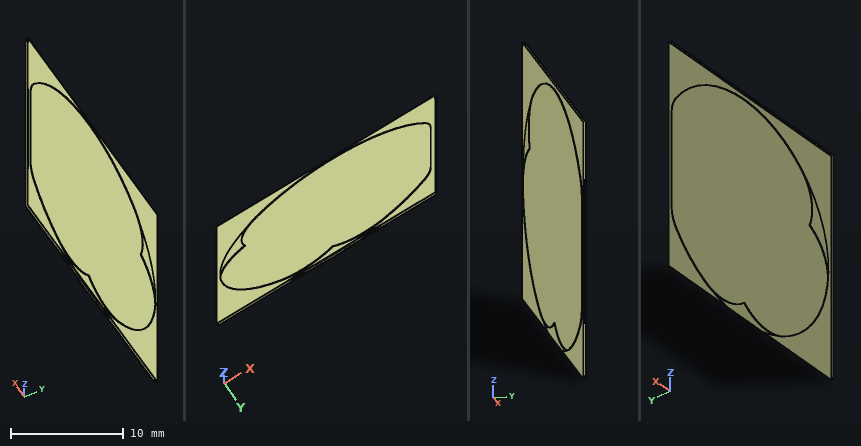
import cadquery as cq
import math

total_thickness = 0.35
pad_height = 0.05
sheet_thickness = 0.001
sheet_outer_thickness = total_thickness - 2 * pad_height
spacer_thickness = sheet_outer_thickness - 2 * sheet_thickness

sheet_left = -12.35
sheet_width = 23.15
sheet_top = 12.45
sheet_height = 24.12

disc_radius = 11.95
flat_x = 10.35
blend_radius = 3.32

lobe_radius = 4.88
lobe_half_angle = 27.5
notch_angles = (160.0, 270.0)


def polar(radius, angle):
    """Point at a radius and an angle in degrees about the disc centre."""
    turn = math.radians(angle)
    return radius * math.cos(turn), radius * math.sin(turn)


def centred_extrude(profile, thickness):
    """Extrude an XZ profile equally to both sides of the middle plane."""
    return profile.extrude(thickness / 2, both=True)


def flatted_disc(thickness):
    blend_x = flat_x - blend_radius
    blend_z = math.sqrt((disc_radius - blend_radius) ** 2 - blend_x**2)
    rim_angle = math.degrees(math.atan2(blend_z, blend_x))
    rim_x, rim_z = polar(disc_radius, rim_angle)
    arc_x, arc_z = polar(blend_radius, rim_angle / 2)
    profile = (
        cq.Workplane("XZ")
        .moveTo(flat_x, -blend_z)
        .lineTo(flat_x, blend_z)
        .threePointArc((blend_x + arc_x, blend_z + arc_z), (rim_x, rim_z))
        .threePointArc((-disc_radius, 0), (rim_x, -rim_z))
        .threePointArc((blend_x + arc_x, -blend_z - arc_z), (flat_x, -blend_z))
        .close()
    )
    return centred_extrude(profile, thickness)


def notch(angle):
    """Region between two neighbouring lobes, out to the disc rim."""
    centre_distance = disc_radius - lobe_radius
    half_turn = math.radians(lobe_half_angle)
    cusp_reach = math.sqrt(lobe_radius**2 - (centre_distance * math.sin(half_turn)) ** 2)
    cusp_radius = centre_distance * math.cos(half_turn) + cusp_reach
    cusp_offset = math.degrees(math.atan2(centre_distance * math.sin(half_turn), cusp_reach))

    def lobe_middle(side):
        """Point on a lobe halfway between the cusp and the rim."""
        direction = angle + side * (lobe_half_angle - cusp_offset) / 2
        centre_x, centre_z = polar(centre_distance, angle + side * lobe_half_angle)
        offset_x, offset_z = polar(lobe_radius, direction)
        return centre_x + offset_x, centre_z + offset_z

    cusp = polar(cusp_radius, angle)
    rim_start = polar(disc_radius, angle - lobe_half_angle)
    rim_end = polar(disc_radius, angle + lobe_half_angle)
    profile = (
        cq.Workplane("XZ")
        .moveTo(*cusp)
        .threePointArc(lobe_middle(-1), rim_start)
        .threePointArc(polar(disc_radius, angle), rim_end)
        .threePointArc(lobe_middle(1), cusp)
        .close()
    )
    return centred_extrude(profile, total_thickness)


def lobed_pad():
    pad = flatted_disc(total_thickness)
    for angle in notch_angles:
        pad = pad.cut(notch(angle))
    return pad


def sheet(side):
    """One sheet against the disc: side -1 is toward -Y, +1 toward +Y."""
    middle_y = side * (spacer_thickness + sheet_thickness) / 2
    middle_x = sheet_left + sheet_width / 2
    middle_z = sheet_top - sheet_height / 2
    blank = cq.Workplane("XY").box(sheet_width, sheet_thickness, sheet_height)
    return blank.translate((middle_x, middle_y, middle_z))


result = flatted_disc(spacer_thickness).union(lobed_pad())
for side in (-1, 1):
    result = result.union(sheet(side))